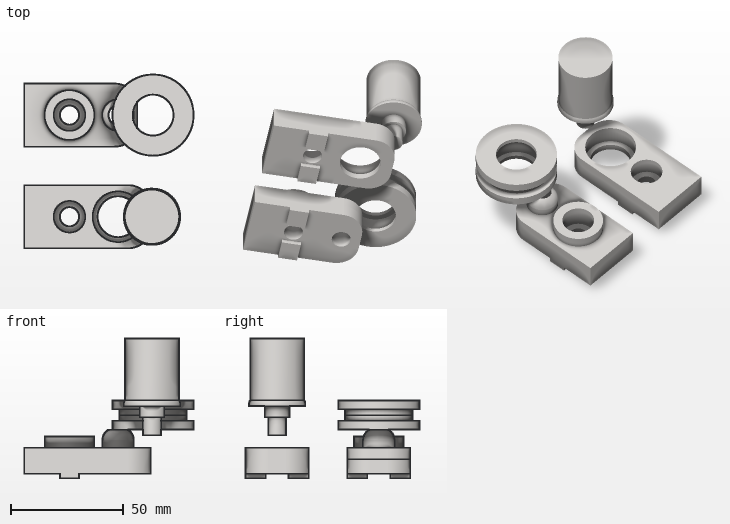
import cadquery as cq

plate_width = 28.0
plate_thickness = 11.6
corner_radius = 10.0
rear_length = 50.05
front_length = 56.05
front_y = -45.0
split_height = 6.5

foot_length = 8.5
foot_height = 2.0
foot_gap = 10.0

bolt_x = 20.0
bolt_hole_diameter = 8.4
bolt_recess_diameter = 14.0
bolt_recess_depth = 8.0
pivot_x = 41.5
bearing_diameter = 22.5
bearing_depth = 8.6
bearing_lip_diameter = 18.0

collar_diameter = 22.0
collar_height = 5.0
post_diameter = 14.0
post_straight_height = 3.4
post_height = 7.9
post_top_diameter = 8.6
post_hole_diameter = 8.4

pulley_x = 57.0
pulley_bottom = plate_thickness + post_height
rim_diameter = 36.0
rim_thickness = 4.0
hub_diameter = 30.0
half_height = 6.51
pulley_lip_thickness = 2.0

plunger_x = 56.5
plunger_top = 60.0
drum_diameter = 24.0
bead_diameter = 25.0
bead_bottom = 30.0
bead_straight_height = 0.85
bead_height = 2.55
shoulder_diameter = 11.0
shoulder_height = 5.0
stem_diameter = 8.0
stem_height = 8.0


def cylinder(diameter, height, x, y, bottom):
    """Upright cylinder standing on the level `bottom`."""
    return cq.Workplane("XY", origin=(x, y, bottom)).circle(diameter / 2).extrude(height)


def make_slab(length, thickness, y, bottom):
    """Flat slab with its two +X corners rounded."""
    slab = cq.Workplane("XY", origin=(length / 2, y, bottom)).rect(length, plate_width).extrude(thickness)
    return slab.edges("|Z and >X").fillet(corner_radius)


def add_feet(plate, y):
    """Add two feet below a plate, one at each long side."""
    foot_width = (plate_width - foot_gap) / 2
    foot_offset = (foot_gap + foot_width) / 2
    feet = (
        cq.Workplane("XY", origin=(bolt_x, y, 0))
        .pushPoints([(0, -foot_offset), (0, foot_offset)])
        .rect(foot_length, foot_width)
        .extrude(-foot_height)
    )
    return plate.union(feet)


def make_front_plate():
    """Plate with a stepped bolt hole and a stepped bearing seat."""
    plate = add_feet(make_slab(front_length, plate_thickness, front_y, 0), front_y)
    recess_floor = plate_thickness - bolt_recess_depth
    bearing_floor = plate_thickness - bearing_depth
    return (
        plate
        .cut(cylinder(bolt_hole_diameter, plate_thickness, bolt_x, front_y, 0))
        .cut(cylinder(bolt_recess_diameter, bolt_recess_depth, bolt_x, front_y, recess_floor))
        .cut(cylinder(bearing_lip_diameter, plate_thickness, pivot_x, front_y, 0))
        .cut(cylinder(bearing_diameter, bearing_depth, pivot_x, front_y, bearing_floor))
    )


def make_rear_base():
    """Lower layer of the rear plate, with feet and two through holes."""
    base = add_feet(make_slab(rear_length, split_height, 0, 0), 0)
    return (
        base
        .cut(cylinder(bolt_hole_diameter, split_height, bolt_x, 0, 0))
        .cut(cylinder(post_hole_diameter, split_height, pivot_x, 0, 0))
    )


def make_post():
    """Post whose wall curves inward, tangent to its straight part, up to a flat top."""
    radius = post_diameter / 2
    return (
        cq.Workplane("XZ", origin=(pivot_x, 0, plate_thickness))
        .lineTo(radius, 0)
        .lineTo(radius, post_straight_height)
        .tangentArcPoint((post_top_diameter / 2, post_height), relative=False)
        .lineTo(0, post_height)
        .close()
        .revolve(360, (0, 0, 0), (0, 1, 0))
    )


def make_rear_cover():
    """Upper layer of the rear plate, with the collar and the domed post."""
    cover_thickness = plate_thickness - split_height
    bolt_bore_height = cover_thickness + collar_height
    post_bore_height = cover_thickness + post_height
    return (
        make_slab(rear_length, cover_thickness, 0, split_height)
        .union(cylinder(collar_diameter, collar_height, bolt_x, 0, plate_thickness))
        .union(make_post())
        .cut(cylinder(bolt_recess_diameter, bolt_bore_height, bolt_x, 0, split_height))
        .cut(cylinder(post_hole_diameter, post_bore_height, pivot_x, 0, split_height))
    )


def make_pulley_half(outer_level, direction):
    """Pulley half from its outer face at `outer_level` to the joint; direction is +1 up, -1 down."""
    recess_depth = half_height - pulley_lip_thickness
    recess_level = outer_level + direction * pulley_lip_thickness
    return (
        cylinder(hub_diameter, direction * half_height, pulley_x, 0, outer_level)
        .union(cylinder(rim_diameter, direction * rim_thickness, pulley_x, 0, outer_level))
        .cut(cylinder(bearing_lip_diameter, direction * half_height, pulley_x, 0, outer_level))
        .cut(cylinder(bearing_diameter, direction * recess_depth, pulley_x, 0, recess_level))
    )


def make_plunger():
    """Solid of revolution: stem, shoulder, beaded base and drum."""
    stem_radius = stem_diameter / 2
    shoulder_radius = shoulder_diameter / 2
    bead_radius = bead_diameter / 2
    drum_radius = drum_diameter / 2
    shoulder_bottom = bead_bottom - shoulder_height
    stem_bottom = shoulder_bottom - stem_height
    return (
        cq.Workplane("XZ", origin=(plunger_x, front_y, 0))
        .moveTo(0, stem_bottom)
        .lineTo(stem_radius, stem_bottom)
        .lineTo(stem_radius, shoulder_bottom)
        .lineTo(shoulder_radius, shoulder_bottom)
        .lineTo(shoulder_radius, bead_bottom)
        .lineTo(bead_radius, bead_bottom)
        .lineTo(bead_radius, bead_bottom + bead_straight_height)
        .tangentArcPoint((drum_radius, bead_bottom + bead_height), relative=False)
        .lineTo(drum_radius, plunger_top)
        .lineTo(0, plunger_top)
        .close()
        .revolve(360, (0, 0, 0), (0, 1, 0))
    )


front_plate = make_front_plate()
rear_base = make_rear_base()
rear_cover = make_rear_cover()
plunger = make_plunger()
pulley_ends = [(pulley_bottom, 1), (pulley_bottom + 2 * half_height, -1)]
pulley_halves = [make_pulley_half(level, direction).val() for level, direction in pulley_ends]

result = cq.Compound.makeCompound([
    front_plate.val(),
    rear_base.val(),
    rear_cover.val(),
    *pulley_halves,
    plunger.val(),
])